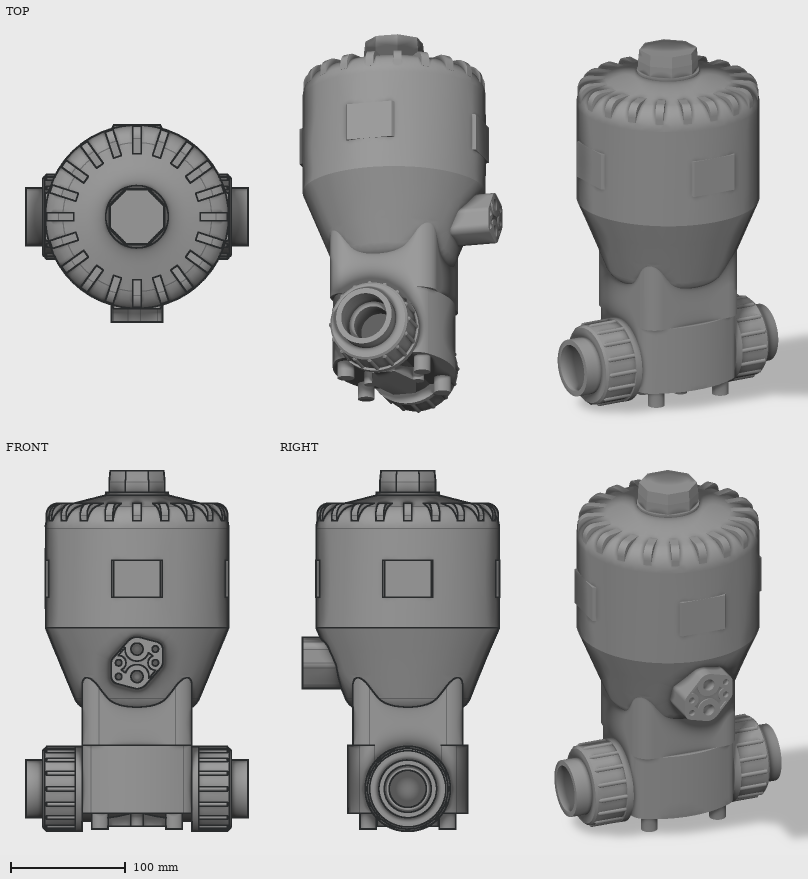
import cadquery as cq
import math


BOWL_RADIUS = 80.0
BOWL_TAPER_RADIUS = 54.4
BOWL_TAPER_Z = 79.2
BOWL_CYLINDER_Z = 140.7
BOWL_BOTTOM_FILLET = 18.0
LID_Z = 227.4
LID_FILLET = 20.0

COLLAR_RADIUS = 27.3
COLLAR_Z = 256.3
COLLAR_HEIGHT = 2.5
CAP_SIDES = 8
CAP_FLATS = 48.8
CAP_TOP_FLATS = 46.8
CAP_STRAIGHT_HEIGHT = 9.2
CAP_TAPER_HEIGHT = 9.8

LID_RIB_COUNT = 20
LID_RIB_WIDTH = 7.2
LID_RIB_INNER_RADIUS = 55.0
LID_RIB_OUTER_RADIUS = 79.2
LID_RIB_ROUND = 10.5
LID_RIB_TOP_Z = 249.3
LID_RIB_BOTTOM_Z = 233.8
LID_RIB_ROOT_Z = 240.0
LID_RIB_ROOT_RADIUS = 70.0

PAD_COUNT = 4
PAD_BOTTOM_Z = 167.4
PAD_HEIGHT = 32.3
PAD_FACE_WIDTH = 40.6
PAD_BASE_WIDTH = 44.8
PAD_FACE_DISTANCE = 80.1
PAD_BASE_DISTANCE = 76.0

NECK_SIDE = 96.0
NECK_CORNER_RADIUS = 14.6
NECK_TOP_Z = 110.0
BODY_TOP_Z = 38.0
BODY_BOTTOM_Z = -21.3
BODY_DEPTH = 105.0
BODY_FACE_RADIUS = 84.0
WATERWAY_RADIUS = 28.3

FOOT_RADIUS = 7.3
FOOT_X = 32.4
FOOT_Y = 34.6
FOOT_BOTTOM_Z = -35.2
STAND_BOTTOM_Z = -32.8
STAND_HALF_LENGTH = 34.0
STAND_END_HALF_WIDTH = 10.0
STAND_HALF_WIDTH = 20.0
STAND_BOSS_RADIUS = 5.5
STAND_BOSS_Y = 21.5

PIPE_RADIUS = 25.2
PIPE_END_X = 97.0
SOCKET_RADIUS = 20.5
SOCKET_DEPTH = 26.0
BORE_RADIUS = 16.2
UNION_FLANGE_RADIUS = 37.2
UNION_FLANGE_THICKNESS = 5.8
NUT_RADIUS = 35.1
NUT_END_X = 82.4
NUT_CHAMFER = 1.8
NUT_RIB_COUNT = 16
NUT_RIB_RADIUS = 1.9
NUT_RIB_END_X = 80.0
NUT_RIB_END_CHAMFER = 1.4

PORT_FACE_Y = -91.9
PORT_ROOT_Y = -40.0
PORT_Z = 110.0
PORT_SPACING = 24.0
PORT_RADIUS = 5.3
PORT_DEPTH = 15.0
PORT_LOBE_RADIUS = 10.5
SCREW_SPACING = 32.0
SCREW_RADIUS = 2.8
SCREW_DEPTH = 10.0
SCREW_LOBE_RADIUS = 6.4
RECESS_DEPTH = 1.5
RECESS_SIDE_X = 22.0
RECESS_TOP_X = 4.8
RECESS_TOP_Z = 19.8


def make_bowl():
    """Revolve the actuator housing: cone, cylinder and rounded conical lid."""
    taper = math.atan2(BOWL_RADIUS - BOWL_TAPER_RADIUS, BOWL_CYLINDER_Z - BOWL_TAPER_Z)
    round_r = BOWL_TAPER_RADIUS - BOWL_BOTTOM_FILLET * math.cos(taper)
    round_z = BOWL_TAPER_Z + BOWL_BOTTOM_FILLET * math.sin(taper)
    round_mid = (math.pi / 2 + taper) / 2
    lid_r = BOWL_RADIUS - LID_FILLET
    reach = math.hypot(lid_r - COLLAR_RADIUS, COLLAR_Z - LID_Z)
    to_collar = math.atan2(COLLAR_Z - LID_Z, COLLAR_RADIUS - lid_r)
    lid_end = to_collar - math.acos(LID_FILLET / reach)
    profile = (
        cq.Workplane("XZ")
        .moveTo(0, round_z - BOWL_BOTTOM_FILLET)
        .lineTo(round_r, round_z - BOWL_BOTTOM_FILLET)
        .threePointArc(
            (
                round_r + BOWL_BOTTOM_FILLET * math.sin(round_mid),
                round_z - BOWL_BOTTOM_FILLET * math.cos(round_mid),
            ),
            (BOWL_TAPER_RADIUS, BOWL_TAPER_Z),
        )
        .lineTo(BOWL_RADIUS, BOWL_CYLINDER_Z)
        .lineTo(BOWL_RADIUS, LID_Z)
        .threePointArc(
            (
                lid_r + LID_FILLET * math.cos(lid_end / 2),
                LID_Z + LID_FILLET * math.sin(lid_end / 2),
            ),
            (
                lid_r + LID_FILLET * math.cos(lid_end),
                LID_Z + LID_FILLET * math.sin(lid_end),
            ),
        )
        .lineTo(COLLAR_RADIUS, COLLAR_Z)
        .lineTo(COLLAR_RADIUS, COLLAR_Z + COLLAR_HEIGHT)
        .lineTo(0, COLLAR_Z + COLLAR_HEIGHT)
        .close()
    )
    return profile.revolve(360, (0, 0, 0), (0, 1, 0))


def octagon(plane_z, flats):
    """Octagon wire standing on Z, with flats facing X and Y."""
    diameter = flats / math.cos(math.pi / CAP_SIDES)
    turn = cq.Vector(0, 0, 0), cq.Vector(0, 0, 1), 180 / CAP_SIDES
    wire = cq.Workplane("XY").polygon(CAP_SIDES, diameter).wires().val()
    return wire.rotate(*turn).translate(cq.Vector(0, 0, plane_z))


def make_cap():
    """Octagonal cap: straight below, slightly tapered above."""
    base_z = COLLAR_Z + COLLAR_HEIGHT
    shoulder_z = base_z + CAP_STRAIGHT_HEIGHT
    lower = octagon(base_z, CAP_FLATS)
    shoulder = octagon(shoulder_z, CAP_FLATS)
    top = octagon(shoulder_z + CAP_TAPER_HEIGHT, CAP_TOP_FLATS)
    straight = cq.Solid.makeLoft([lower, shoulder], True)
    tapered = cq.Solid.makeLoft([shoulder, top], True)
    return cq.Workplane(straight).union(cq.Workplane(tapered))


def make_lid_ribs():
    """Radial grip ribs bridging over the rounded lid edge."""
    diagonal = LID_RIB_ROUND * math.sqrt(0.5)
    round_r = LID_RIB_OUTER_RADIUS - LID_RIB_ROUND
    round_z = LID_RIB_TOP_Z - LID_RIB_ROUND
    rib = (
        cq.Workplane("XZ")
        .moveTo(LID_RIB_INNER_RADIUS, LID_RIB_TOP_Z)
        .lineTo(round_r, LID_RIB_TOP_Z)
        .threePointArc((round_r + diagonal, round_z + diagonal), (LID_RIB_OUTER_RADIUS, round_z))
        .lineTo(LID_RIB_OUTER_RADIUS, LID_RIB_BOTTOM_Z)
        .lineTo(LID_RIB_ROOT_RADIUS, LID_RIB_BOTTOM_Z)
        .lineTo(LID_RIB_INNER_RADIUS, LID_RIB_ROOT_Z)
        .close()
        .extrude(LID_RIB_WIDTH / 2, both=True)
    )
    return [
        rib.rotate((0, 0, 0), (0, 0, 1), i * 360 / LID_RIB_COUNT)
        for i in range(LID_RIB_COUNT)
    ]


def make_label_pads():
    """Flat label pads with bevelled sides, a quarter turn apart."""
    pad = (
        cq.Workplane("XY", origin=(0, 0, PAD_BOTTOM_Z))
        .polyline([
            (PAD_BASE_DISTANCE, -PAD_BASE_WIDTH / 2),
            (PAD_FACE_DISTANCE, -PAD_FACE_WIDTH / 2),
            (PAD_FACE_DISTANCE, PAD_FACE_WIDTH / 2),
            (PAD_BASE_DISTANCE, PAD_BASE_WIDTH / 2),
            (BOWL_RADIUS / 2, 0),
        ])
        .close()
        .extrude(PAD_HEIGHT)
    )
    return [pad.rotate((0, 0, 0), (0, 0, 1), i * 360 / PAD_COUNT) for i in range(PAD_COUNT)]


def make_neck():
    """Square neck with rounded corners, between the body and the bowl."""
    return (
        cq.Workplane("XY", origin=(0, 0, BODY_TOP_Z))
        .rect(NECK_SIDE, NECK_SIDE)
        .extrude(NECK_TOP_Z - BODY_TOP_Z)
        .edges("|Z")
        .fillet(NECK_CORNER_RADIUS)
    )


def make_body():
    """Valve body with arched front and back faces, around the waterway."""
    half_side = NECK_SIDE / 2
    half_depth = BODY_DEPTH / 2
    arc_center = half_depth - BODY_FACE_RADIUS
    edge_y = arc_center + math.sqrt(BODY_FACE_RADIUS**2 - half_side**2)
    block = (
        cq.Workplane("XY", origin=(0, 0, BODY_BOTTOM_Z))
        .moveTo(-half_side, -edge_y)
        .threePointArc((0, -half_depth), (half_side, -edge_y))
        .lineTo(half_side, edge_y)
        .threePointArc((0, half_depth), (-half_side, edge_y))
        .close()
        .extrude(BODY_TOP_Z - BODY_BOTTOM_Z)
        .edges("|Z")
        .fillet(NECK_CORNER_RADIUS)
    )
    waterway = cq.Workplane("YZ").circle(WATERWAY_RADIUS).extrude(half_side, both=True)
    return block.union(waterway)


def make_feet():
    """Four bolt feet below the body."""
    return (
        cq.Workplane("XY", origin=(0, 0, FOOT_BOTTOM_Z))
        .rect(2 * FOOT_X, 2 * FOOT_Y, forConstruction=True)
        .vertices()
        .circle(FOOT_RADIUS)
        .extrude(BODY_BOTTOM_Z - FOOT_BOTTOM_Z)
    )


def make_stand():
    """Six-sided central stand with a round boss at its front and back."""
    height = BODY_BOTTOM_Z - STAND_BOTTOM_Z
    base = cq.Workplane("XY", origin=(0, 0, STAND_BOTTOM_Z))
    plate = (
        base.polyline([
            (-STAND_HALF_LENGTH, -STAND_END_HALF_WIDTH),
            (0, -STAND_HALF_WIDTH),
            (STAND_HALF_LENGTH, -STAND_END_HALF_WIDTH),
            (STAND_HALF_LENGTH, STAND_END_HALF_WIDTH),
            (0, STAND_HALF_WIDTH),
            (-STAND_HALF_LENGTH, STAND_END_HALF_WIDTH),
        ])
        .close()
        .extrude(height)
    )
    boss_places = [(0, -STAND_BOSS_Y), (0, STAND_BOSS_Y)]
    return plate.union(base.pushPoints(boss_places).circle(STAND_BOSS_RADIUS).extrude(height))


def make_union():
    """Pipe union on the +X side: flange, ribbed nut and pipe end."""
    flange_x = NECK_SIDE / 2
    nut_x = flange_x + UNION_FLANGE_THICKNESS
    flange = (
        cq.Workplane("YZ", origin=(flange_x, 0, 0))
        .circle(UNION_FLANGE_RADIUS)
        .extrude(UNION_FLANGE_THICKNESS)
    )
    nut = (
        cq.Workplane("YZ", origin=(nut_x, 0, 0))
        .circle(NUT_RADIUS)
        .extrude(NUT_END_X - nut_x)
        .faces(">X")
        .chamfer(NUT_CHAMFER)
    )
    ribs = (
        cq.Workplane("YZ", origin=(nut_x, 0, 0))
        .polarArray(NUT_RADIUS, 0, 360, NUT_RIB_COUNT)
        .circle(NUT_RIB_RADIUS)
        .extrude(NUT_RIB_END_X - nut_x)
        .faces(">X")
        .chamfer(NUT_RIB_END_CHAMFER)
    )
    pipe = (
        cq.Workplane("YZ", origin=(flange_x, 0, 0))
        .circle(PIPE_RADIUS)
        .extrude(PIPE_END_X - flange_x)
    )
    socket = (
        cq.Workplane("YZ", origin=(PIPE_END_X - SOCKET_DEPTH, 0, 0))
        .circle(SOCKET_RADIUS)
        .extrude(SOCKET_DEPTH)
    )
    bore = (
        cq.Workplane("YZ", origin=(flange_x, 0, 0))
        .circle(BORE_RADIUS)
        .extrude(PIPE_END_X - flange_x)
    )
    return flange.union(nut).union(ribs).union(pipe).cut(socket).cut(bore)


def port_plane(y):
    """Sketch plane facing -Y, centred on the port block."""
    return cq.Workplane("XZ", origin=(0, y, PORT_Z))


def tangent_outline(circles):
    """Closed outline wrapped around circles (x, z, radius) listed counter-clockwise."""
    tangents = []
    for i, (x0, z0, r0) in enumerate(circles):
        x1, z1, r1 = circles[(i + 1) % len(circles)]
        heading = math.atan2(z1 - z0, x1 - x0)
        lean = math.acos((r0 - r1) / math.hypot(x1 - x0, z1 - z0))
        tangents.append(heading - lean)
    outline = cq.Workplane("XZ", origin=(0, PORT_ROOT_Y, PORT_Z))
    for i, (x, z, r) in enumerate(circles):
        start = tangents[i - 1]
        sweep = (tangents[i] - start) % (2 * math.pi)
        first, middle, last = [
            (x + r * math.cos(start + sweep * part), z + r * math.sin(start + sweep * part))
            for part in (0, 0.5, 1)
        ]
        outline = outline.moveTo(*first) if i == 0 else outline.lineTo(*first)
        outline = outline.threePointArc(middle, last)
    return outline.close()


def make_port_block():
    """Control port block with two air ports, four screw holes and a face recess."""
    port_z = PORT_SPACING / 2
    screw_x = SCREW_SPACING / 2
    ports = [(0, port_z), (0, -port_z)]
    inner_screws = [(screw_x, 0), (-screw_x, 0)]
    outer_screws = [(screw_x, port_z), (-screw_x, -port_z)]
    block = tangent_outline([
        (0, -port_z, PORT_LOBE_RADIUS),
        (screw_x, 0, SCREW_LOBE_RADIUS),
        (screw_x, port_z, SCREW_LOBE_RADIUS),
        (0, port_z, PORT_LOBE_RADIUS),
        (-screw_x, 0, SCREW_LOBE_RADIUS),
        (-screw_x, -port_z, SCREW_LOBE_RADIUS),
    ]).extrude(PORT_ROOT_Y - PORT_FACE_Y)

    face = port_plane(PORT_FACE_Y)
    recess = (
        face.polyline([
            (-RECESS_SIDE_X, 0),
            (-RECESS_TOP_X, RECESS_TOP_Z),
            (RECESS_SIDE_X, 0),
            (RECESS_TOP_X, -RECESS_TOP_Z),
        ])
        .close()
        .extrude(-RECESS_DEPTH)
        .cut(face.pushPoints(ports).circle(PORT_LOBE_RADIUS).extrude(-RECESS_DEPTH))
        .cut(face.pushPoints(inner_screws).circle(SCREW_LOBE_RADIUS).extrude(-RECESS_DEPTH))
    )
    air_holes = face.pushPoints(ports).circle(PORT_RADIUS).extrude(-PORT_DEPTH)
    screw_holes = face.pushPoints(inner_screws + outer_screws).circle(SCREW_RADIUS).extrude(-SCREW_DEPTH)
    return block.cut(recess).cut(air_holes).cut(screw_holes)


right_union = make_union()
left_union = right_union.mirror("YZ")

result = make_bowl().union(make_cap())
for detail in make_lid_ribs() + make_label_pads():
    result = result.union(detail)
for section in (make_neck(), make_body(), make_feet(), make_stand(), right_union, left_union):
    result = result.union(section)
result = result.union(make_port_block())